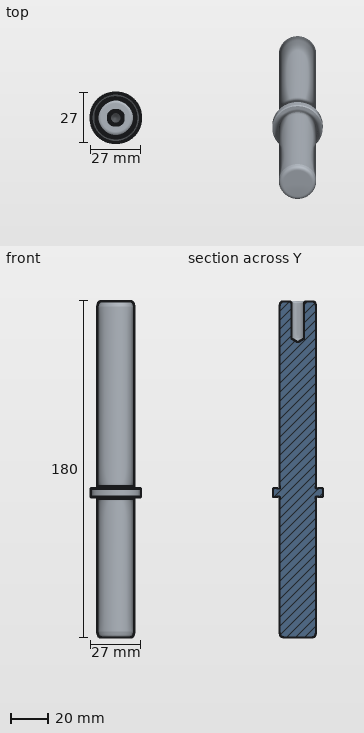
import cadquery as cq
import math

shaft_diameter = 20.0
collar_diameter = 27.0
collar_thickness = 5.0
upper_length = 100.0
lower_length = 75.0
collar_chamfer = 0.5

lead_length = 3.0
lead_angle = math.radians(15)
lead_round = 2.0

relief_shaft_depth = 0.3
relief_face_depth = 0.2
relief_length = 1.0
relief_face_width = 1.0
relief_round = 0.4

hole_diameter = 6.4
hole_depth = 20.0
countersink_diameter = 8.5
drill_point_angle = math.radians(118)

shaft_radius = shaft_diameter / 2
collar_radius = collar_diameter / 2
collar_face = collar_thickness / 2
upper_end = collar_face + upper_length

axis_start = (0, 0, 0)
axis_end = (0, 1, 0)


def shaft(length):
    """Shaft from Z = 0 upward, standing `length` above the collar, with its lead-in."""
    end = collar_face + length
    taper_start = end - lead_length
    round_start = end - lead_round * (1 - math.sin(lead_angle))
    round_radius = shaft_radius - (round_start - taper_start) * math.tan(lead_angle)
    flat_radius = round_radius - lead_round * math.cos(lead_angle)
    middle_angle = (lead_angle + math.pi / 2) / 2
    round_middle = (
        flat_radius + lead_round * math.cos(middle_angle),
        end - lead_round * (1 - math.sin(middle_angle)),
    )
    return (
        cq.Workplane("XZ")
        .lineTo(shaft_radius, 0)
        .lineTo(shaft_radius, taper_start)
        .lineTo(round_radius, round_start)
        .threePointArc(round_middle, (flat_radius, end))
        .lineTo(0, end)
        .close()
        .revolve(360, axis_start, axis_end)
    )


def collar():
    """Collar disc, chamfered on both rims."""
    return (
        cq.Workplane("XY")
        .workplane(offset=-collar_face)
        .circle(collar_radius)
        .extrude(collar_thickness)
        .edges()
        .chamfer(collar_chamfer)
    )


def relief_groove():
    """Ring removed from the corner between the shaft and the upper collar face.

    Its inner corner is rounded, and it runs out to the shaft at 45 degrees.
    """
    groove_radius = shaft_radius - relief_shaft_depth
    groove_floor = collar_face - relief_face_depth
    groove_top = collar_face + relief_length
    face_edge = shaft_radius + relief_face_width
    return (
        cq.Workplane("XZ")
        .moveTo(groove_radius + relief_round, groove_floor)
        .lineTo(face_edge, groove_floor)
        .lineTo(face_edge, collar_face)
        .lineTo(shaft_radius, groove_top)
        .lineTo(groove_radius, groove_top - relief_shaft_depth)
        .lineTo(groove_radius, groove_floor + relief_round)
        .radiusArc((groove_radius + relief_round, groove_floor), -relief_round)
        .close()
        .revolve(360, axis_start, axis_end)
    )


def blind_hole():
    """Countersunk hole with a conical bottom, opening at the upper end."""
    hole_radius = hole_diameter / 2
    countersink_radius = countersink_diameter / 2
    countersink_depth = countersink_radius - hole_radius
    hole_bottom = upper_end - hole_depth
    point_height = hole_radius / math.tan(drill_point_angle / 2)
    return (
        cq.Workplane("XZ")
        .moveTo(0, upper_end)
        .lineTo(countersink_radius, upper_end)
        .lineTo(hole_radius, upper_end - countersink_depth)
        .lineTo(hole_radius, hole_bottom)
        .lineTo(0, hole_bottom - point_height)
        .close()
        .revolve(360, axis_start, axis_end)
    )


body = shaft(upper_length).union(shaft(lower_length).mirror("XY")).union(collar())
upper_groove = relief_groove()
lower_groove = upper_groove.mirror("XY")
result = body.cut(upper_groove).cut(lower_groove).cut(blind_hole())